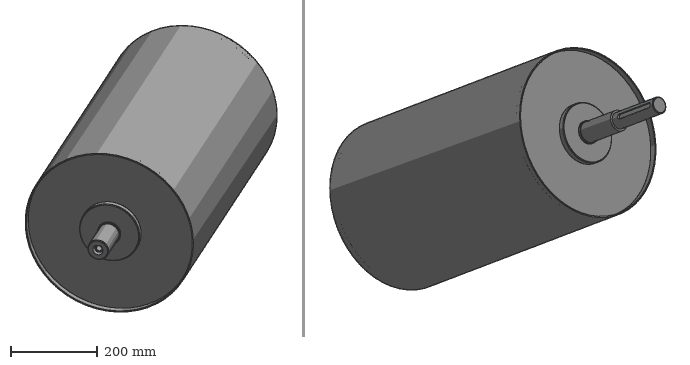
import cadquery as cq
import math

DRUM_DIAMETER = 406.0
DRUM_LENGTH = 700.0
RECESS_DIAMETER = 400.0
RECESS_DEPTH = 15.0

HUB_DIAMETER = 145.0
HUB_CHAMFER = 2.0
COLLAR_DIAMETER = 55.0
COLLAR_PROJECTION = 5.0

TOTAL_LENGTH = 1060.0
SHAFT_DIAMETER = 50.0
SHAFT_END_CHAMFER = 2.0
FRONT_JOURNAL_LENGTH = 95.0
DRIVE_DIAMETER = 40.0
DRIVE_LENGTH = 150.0

KEY_WIDTH = 12.0
KEY_DEPTH = 5.0
KEY_LENGTH = 120.0
KEY_END_MARGIN = 10.0

COUNTERSINK_DIAMETER = 24.5
COUNTERSINK_ANGLE = 60.0
RELIEF_DIAMETER = 17.0
RELIEF_END_DEPTH = 10.0
CORE_DIAMETER = 13.84
CORE_END_DEPTH = 42.0
DRILL_POINT_ANGLE = 120.0

DRUM_FRONT = -DRUM_LENGTH / 2
DRUM_BACK = DRUM_LENGTH / 2
SHAFT_FRONT = DRUM_FRONT - FRONT_JOURNAL_LENGTH
SHAFT_BACK = SHAFT_FRONT + TOTAL_LENGTH
DRIVE_START = SHAFT_BACK - DRIVE_LENGTH


def cylinder(diameter, y_start, y_end):
    """Cylinder on the Y axis between two stations."""
    plane = cq.Plane(origin=(0, y_start, 0), xDir=(1, 0, 0), normal=(0, 1, 0))
    return cq.Workplane(plane).circle(diameter / 2).extrude(y_end - y_start)


def make_drum():
    """Drum with both end recesses and the hub disc in each of them."""
    drum = cylinder(DRUM_DIAMETER, DRUM_FRONT, DRUM_BACK)
    floor_front = DRUM_FRONT + RECESS_DEPTH
    floor_back = DRUM_BACK - RECESS_DEPTH
    drum = drum.cut(cylinder(RECESS_DIAMETER, DRUM_FRONT, floor_front))
    drum = drum.cut(cylinder(RECESS_DIAMETER, floor_back, DRUM_BACK))
    hub = cylinder(HUB_DIAMETER, DRUM_FRONT, DRUM_BACK)
    return drum.union(hub.edges().chamfer(HUB_CHAMFER))


def make_shaft():
    """Stepped shaft with the collars at both ends of the drum."""
    collar = cylinder(COLLAR_DIAMETER, DRUM_FRONT - COLLAR_PROJECTION, DRUM_BACK + COLLAR_PROJECTION)
    journal = cylinder(SHAFT_DIAMETER, SHAFT_FRONT, DRIVE_START)
    drive_end = cylinder(DRIVE_DIAMETER, DRIVE_START, SHAFT_BACK)
    journal = journal.faces("<Y").chamfer(SHAFT_END_CHAMFER)
    drive_end = drive_end.faces(">Y").chamfer(SHAFT_END_CHAMFER)
    return collar.union(journal).union(drive_end)


def make_keyway():
    """Round-ended keyway cutter, reaching outward from the keyway floor."""
    key_centre = SHAFT_BACK - KEY_END_MARGIN - KEY_LENGTH / 2
    key_floor = DRIVE_DIAMETER / 2 - KEY_DEPTH
    return (
        cq.Workplane("YZ", origin=(key_floor, key_centre, 0))
        .slot2D(KEY_LENGTH, KEY_WIDTH)
        .extrude(KEY_DEPTH)
    )


def make_centre_hole():
    """Countersunk, relieved centre hole with a drill-point bottom, as one profile turned about Y."""
    countersink_radius = COUNTERSINK_DIAMETER / 2
    relief_radius = RELIEF_DIAMETER / 2
    core_radius = CORE_DIAMETER / 2
    half_angle = math.radians(COUNTERSINK_ANGLE / 2)
    countersink_depth = (countersink_radius - relief_radius) / math.tan(half_angle)
    drill_point_depth = core_radius / math.tan(math.radians(DRILL_POINT_ANGLE / 2))
    return (
        cq.Workplane("XY", origin=(0, SHAFT_FRONT, 0))
        .moveTo(0, 0)
        .lineTo(countersink_radius, 0)
        .lineTo(relief_radius, countersink_depth)
        .lineTo(relief_radius, RELIEF_END_DEPTH)
        .lineTo(core_radius, RELIEF_END_DEPTH)
        .lineTo(core_radius, CORE_END_DEPTH)
        .lineTo(0, CORE_END_DEPTH + drill_point_depth)
        .close()
        .revolve(360, (0, 0, 0), (0, 1, 0))
    )


result = make_drum().union(make_shaft()).cut(make_keyway()).cut(make_centre_hole())